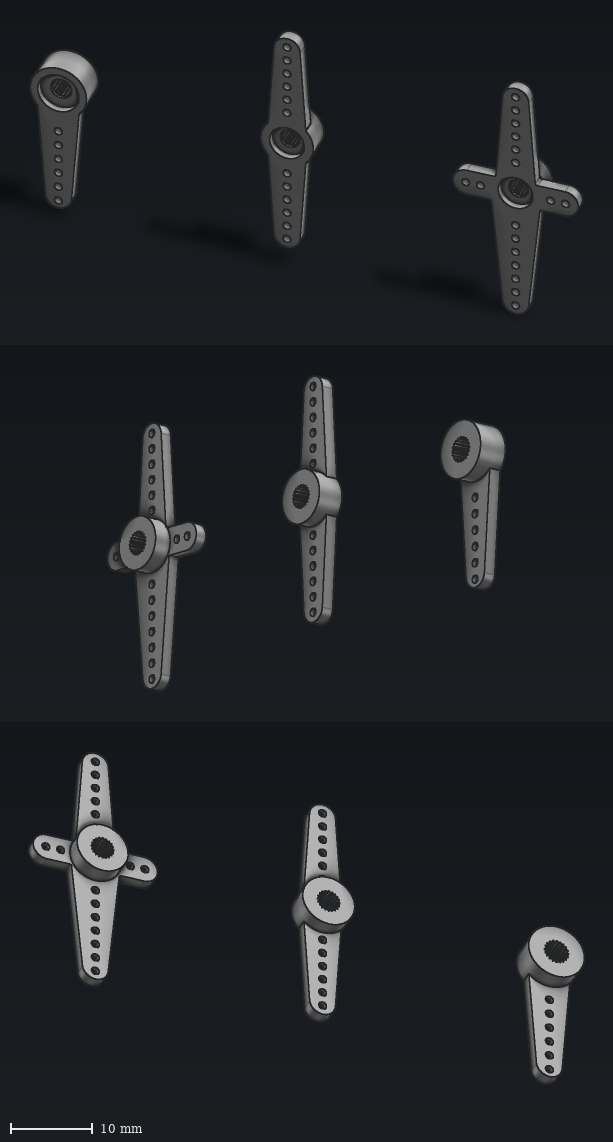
import cadquery as cq
import math


RIGHT = 0
UP = 90
LEFT = 180
DOWN = 270

OVERALL_LENGTH = 71.95
OVERALL_HEIGHT = 33.7
HORN_SPACING = 30.0
THICK_PLATE = 1.7
THIN_PLATE = 1.6
LONG_TIP_RADIUS = 1.7
LONG_ARM_REACH = 15.6
PIN_HOLE_DIAMETER = 1.0
PIN_HOLES_PER_ARM = 6
LONG_ARM_FIRST_PIN = 4.5
LONG_ARM_LAST_PIN = 14.3

RECESS_DEPTH = 1.0
WEB_THICKNESS = 0.5
TOOTH_HEIGHT = 0.2
TEETH = 20
LARGE_HOLE_DIAMETER = 2.7
LARGE_RECESS_DIAMETER = 5.4
SMALL_HOLE_DIAMETER = 2.5
SMALL_RECESS_DIAMETER = 4.5

SINGLE_HUB_DIAMETER = 7.4
SINGLE_HUB_HEIGHT = 4.1
SINGLE_ARM_REACH = 17.1
SINGLE_ARM_TAPER = 4.4
SINGLE_FIRST_PIN = 5.7
SINGLE_LAST_PIN = 16.05

DOUBLE_HUB_DIAMETER = 6.9
DOUBLE_HUB_HEIGHT = 3.75
DOUBLE_ARM_TAPER = 3.7

CROSS_HUB_DIAMETER = 6.75
CROSS_HUB_HEIGHT = 3.95
CROSS_UPPER_TAPER = 4.1
CROSS_LOWER_REACH = OVERALL_HEIGHT - LONG_ARM_REACH
CROSS_LOWER_TAPER = 5.7
CROSS_LOWER_FIRST_PIN = 4.8
CROSS_LOWER_LAST_PIN = 16.85
CROSS_LOWER_PINS = PIN_HOLES_PER_ARM + 1
SIDE_ARM_REACH = OVERALL_LENGTH - SINGLE_HUB_DIAMETER / 2 - 2 * HORN_SPACING
SIDE_TIP_RADIUS = 1.8
SIDE_FIRST_PIN = 4.6
SIDE_LAST_PIN = 6.55
SIDE_PINS = 2
CROSS_CORNERS = 4
CROSS_CORNER_RADIUS = 0.3


def plane_at(y):
    """Workplane at the given Y, facing -Y, with local X along X and local Y along Z."""
    return cq.Workplane(cq.Plane(origin=(0, y, 0), xDir=(1, 0, 0), normal=(0, -1, 0)))


def cylinder(diameter, start, end):
    """Cylinder on the hub axis between two Y positions."""
    return plane_at(end).circle(diameter / 2).extrude(end - start)


def turned(body, angle):
    """Turn a body built along +X about the hub axis."""
    return body.rotate((0, 0, 0), (0, -1, 0), angle)


def arm(angle, reach, tip_radius, taper, thickness):
    """Arm from the hub axis to a round tip; each side leans by the taper and is tangent to the tip."""
    lean = math.radians(taper)
    tip_center = reach - tip_radius
    root_half_width = tip_radius / math.cos(lean) + tip_center * math.tan(lean)
    tangent_x = tip_center + tip_radius * math.sin(lean)
    tangent_y = tip_radius * math.cos(lean)
    outline = (
        plane_at(thickness)
        .moveTo(0, -root_half_width)
        .lineTo(tangent_x, -tangent_y)
        .threePointArc((reach, 0), (tangent_x, tangent_y))
        .lineTo(0, root_half_width)
        .close()
    )
    return turned(outline.extrude(thickness), angle)


def pin_holes(angle, first, last, count, thickness):
    """Evenly spaced through holes along one arm, between two distances from the hub axis."""
    pitch = (last - first) / (count - 1)
    points = [(first + i * pitch, 0) for i in range(count)]
    row = plane_at(thickness).pushPoints(points).circle(PIN_HOLE_DIAMETER / 2).extrude(thickness)
    return turned(row, angle)


def toothed_socket(tip_radius, start, end):
    """Ring of straight-sided teeth around the hub axis between two Y positions."""
    points = []
    for i in range(2 * TEETH):
        radius = tip_radius if i % 2 else tip_radius + TOOTH_HEIGHT
        angle = math.pi * i / TEETH
        points.append((radius * math.cos(angle), radius * math.sin(angle)))
    return plane_at(end).polyline(points).close().extrude(end - start)


def bore(hole_diameter, recess_diameter, hub_height):
    """Screw recess in the plate face, web hole, and a socket whose tooth tips meet the hole."""
    web_back = RECESS_DEPTH + WEB_THICKNESS
    recess = cylinder(recess_diameter, 0, RECESS_DEPTH)
    hole = cylinder(hole_diameter, 0, web_back)
    socket = toothed_socket(hole_diameter / 2, web_back, hub_height)
    return recess.union(hole).union(socket)


def round_inner_corners(plate, count, radius):
    """Round the corners between arms: the edges along Y nearest the hub axis."""
    def distance(edge):
        return math.hypot(edge.Center().x, edge.Center().z)

    corners = sorted(plate.edges("|Y").vals(), key=distance)[:count]
    return plate.newObject(corners).fillet(radius)


def single_arm_horn():
    horn = cylinder(SINGLE_HUB_DIAMETER, 0, SINGLE_HUB_HEIGHT)
    horn = horn.union(arm(DOWN, SINGLE_ARM_REACH, LONG_TIP_RADIUS, SINGLE_ARM_TAPER, THICK_PLATE))
    horn = horn.cut(pin_holes(DOWN, SINGLE_FIRST_PIN, SINGLE_LAST_PIN, PIN_HOLES_PER_ARM, THICK_PLATE))
    return horn.cut(bore(LARGE_HOLE_DIAMETER, LARGE_RECESS_DIAMETER, SINGLE_HUB_HEIGHT))


def double_arm_horn():
    horn = cylinder(DOUBLE_HUB_DIAMETER, 0, DOUBLE_HUB_HEIGHT)
    for angle in (UP, DOWN):
        horn = horn.union(arm(angle, LONG_ARM_REACH, LONG_TIP_RADIUS, DOUBLE_ARM_TAPER, THICK_PLATE))
        horn = horn.cut(
            pin_holes(angle, LONG_ARM_FIRST_PIN, LONG_ARM_LAST_PIN, PIN_HOLES_PER_ARM, THICK_PLATE)
        )
    return horn.cut(bore(SMALL_HOLE_DIAMETER, SMALL_RECESS_DIAMETER, DOUBLE_HUB_HEIGHT))


def cross_plate():
    """Four arms joined at the hub axis, with rounded inner corners and no holes."""
    plate = arm(UP, LONG_ARM_REACH, LONG_TIP_RADIUS, CROSS_UPPER_TAPER, THIN_PLATE)
    plate = plate.union(arm(DOWN, CROSS_LOWER_REACH, LONG_TIP_RADIUS, CROSS_LOWER_TAPER, THIN_PLATE))
    for angle in (LEFT, RIGHT):
        plate = plate.union(arm(angle, SIDE_ARM_REACH, SIDE_TIP_RADIUS, 0, THIN_PLATE))
    return round_inner_corners(plate.clean(), CROSS_CORNERS, CROSS_CORNER_RADIUS)


def cross_horn():
    horn = cross_plate().union(cylinder(CROSS_HUB_DIAMETER, THIN_PLATE, CROSS_HUB_HEIGHT))
    horn = horn.cut(pin_holes(UP, LONG_ARM_FIRST_PIN, LONG_ARM_LAST_PIN, PIN_HOLES_PER_ARM, THIN_PLATE))
    horn = horn.cut(
        pin_holes(DOWN, CROSS_LOWER_FIRST_PIN, CROSS_LOWER_LAST_PIN, CROSS_LOWER_PINS, THIN_PLATE)
    )
    for angle in (LEFT, RIGHT):
        horn = horn.cut(pin_holes(angle, SIDE_FIRST_PIN, SIDE_LAST_PIN, SIDE_PINS, THIN_PLATE))
    return horn.cut(bore(SMALL_HOLE_DIAMETER, SMALL_RECESS_DIAMETER, CROSS_HUB_HEIGHT))


single_horn = single_arm_horn()
double_horn = double_arm_horn().translate((HORN_SPACING, 0, 0))
four_arm_horn = cross_horn().translate((2 * HORN_SPACING, 0, 0))

result = cq.Compound.makeCompound([single_horn.val(), double_horn.val(), four_arm_horn.val()])